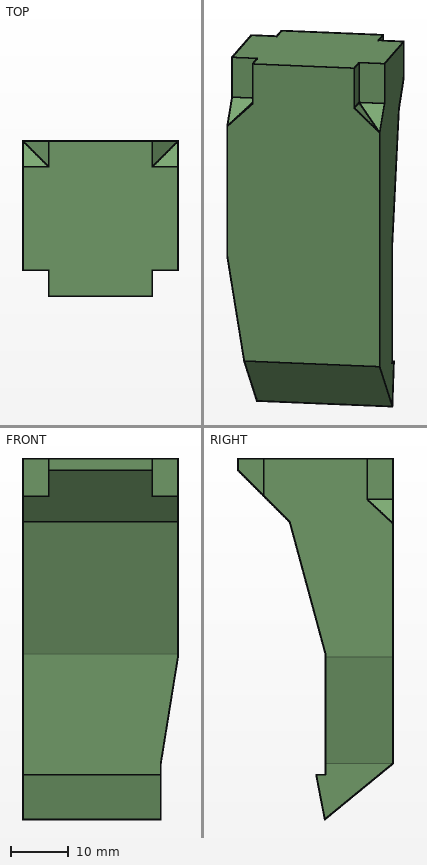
import cadquery as cq

WIDTH = 27.0
DEPTH = 27.0
HEIGHT = 62.75

LIP_HEIGHT = 2.0
HEAD_OVERHANG = 9.0
SHANK_FRONT_Y = 15.2
SHANK_TOP_Z = -33.9
CATCH_Z = -54.95
CATCH_REACH = 1.6
TIP_Y = 15.1
BACK_BOTTOM_Z = -53.0

TAPER_TOP_Z = -34.4
TAPER_BOTTOM_Z = -53.0
TAPER_INSET = 3.0

NOTCH_SIZE = 4.5
BACK_NOTCH_DEPTH = 7.1
BACK_NOTCH_POINT_DEPTH = 4.2


def hook_body():
    """Side profile in the YZ plane, extruded across the full width."""
    knee_z = -LIP_HEIGHT - HEAD_OVERHANG
    profile = [
        (0, 0),
        (0, -LIP_HEIGHT),
        (HEAD_OVERHANG, knee_z),
        (SHANK_FRONT_Y, SHANK_TOP_Z),
        (SHANK_FRONT_Y, CATCH_Z),
        (SHANK_FRONT_Y - CATCH_REACH, CATCH_Z),
        (TIP_Y, -HEIGHT),
        (DEPTH, BACK_BOTTOM_Z),
        (DEPTH, 0),
    ]
    return cq.Workplane("YZ").polyline(profile).close().extrude(WIDTH)


def side_taper():
    """Material removed from the +X side, through the full depth."""
    outline = [
        (WIDTH, TAPER_TOP_Z),
        (WIDTH - TAPER_INSET, TAPER_BOTTOM_Z),
        (WIDTH - TAPER_INSET, -HEIGHT),
        (WIDTH, -HEIGHT),
    ]
    return cq.Workplane("XZ").polyline(outline).close().extrude(-DEPTH)


def notch_block(left_x, front_y, depth):
    """Square block reaching down from the top face."""
    block = cq.Workplane("XY").box(NOTCH_SIZE, NOTCH_SIZE, depth, centered=False)
    return block.translate((left_x, front_y, -depth))


def notch_pyramid(left_x, corner_x):
    """Pyramid under a back notch, with its point on the part's vertical corner edge."""
    right_x = left_x + NOTCH_SIZE
    front_y = DEPTH - NOTCH_SIZE
    base = [
        cq.Vector(left_x, front_y, -BACK_NOTCH_DEPTH),
        cq.Vector(right_x, front_y, -BACK_NOTCH_DEPTH),
        cq.Vector(right_x, DEPTH, -BACK_NOTCH_DEPTH),
        cq.Vector(left_x, DEPTH, -BACK_NOTCH_DEPTH),
    ]
    point = cq.Vector(corner_x, DEPTH, -BACK_NOTCH_DEPTH - BACK_NOTCH_POINT_DEPTH)
    faces = [cq.Face.makeFromWires(cq.Wire.makePolygon(base, close=True))]
    for start, end in zip(base, base[1:] + base[:1]):
        side = cq.Wire.makePolygon([start, end, point], close=True)
        faces.append(cq.Face.makeFromWires(side))
    return cq.Workplane(cq.Solid.makeSolid(cq.Shell.makeShell(faces)))


result = hook_body().cut(side_taper())

front_notch_depth = LIP_HEIGHT + NOTCH_SIZE
for left_x, corner_x in ((0, 0), (WIDTH - NOTCH_SIZE, WIDTH)):
    result = result.cut(notch_block(left_x, 0, front_notch_depth))
    result = result.cut(notch_block(left_x, DEPTH - NOTCH_SIZE, BACK_NOTCH_DEPTH))
    result = result.cut(notch_pyramid(left_x, corner_x))